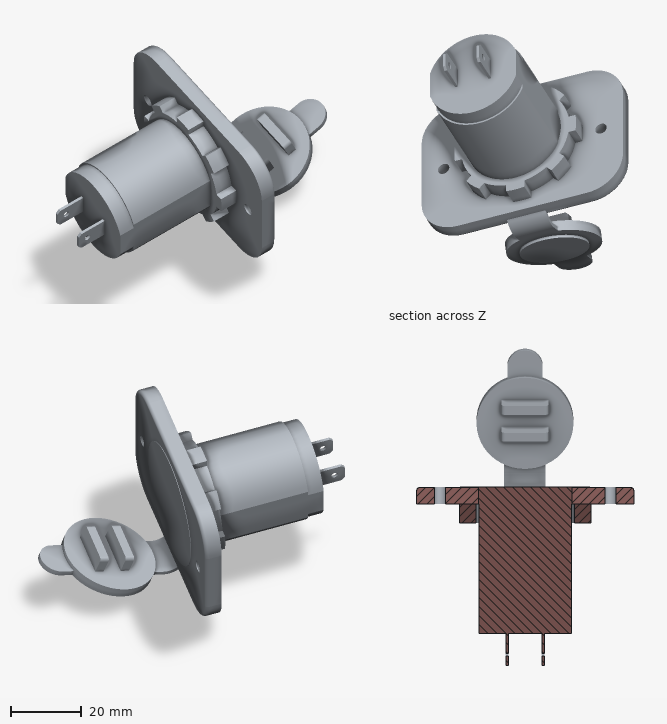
import cadquery as cq
import math


PLATE_WIDTH = 61.4
PLATE_HEIGHT = 43.7
PLATE_THICKNESS = 4.8
PLATE_CORNER_RADIUS = 11.0
PLATE_EDGE_FILLET = 1.0
SCREW_HOLE_DIAMETER = 3.5
SCREW_HOLE_SPACING = 48.0

BARREL_RADIUS = 14.3
BARREL_FLAT_WIDTH = 26.2
BARREL_END_RADIUS = 13.8
BARREL_STEP_Y = -31.9
BARREL_END_Y = -36.6
FLANGE_RADIUS = 18.3
FLANGE_THICKNESS = 0.13

TERMINAL_SPACING = 10.2
TERMINAL_THICKNESS = 0.8
TERMINAL_WIDTH = 6.3
TERMINAL_LENGTH = 8.9
TERMINAL_CHAMFER = 1.0
TERMINAL_HOLE_DIAMETER = 2.0
TERMINAL_HOLE_FROM_END = 3.0

NUT_THICKNESS = 5.3
NUT_BORE_RADIUS = 13.95
NUT_RIM_RADIUS = 16.45
NUT_LUG_RADIUS = 18.6
NUT_LUG_WIDTH = 5.5
NUT_LUG_COUNT = 8

CAP_TILT = 20.0
CAP_CENTER_Y = 22.8
CAP_CENTER_Z = -15.3
CAP_RADIUS = 13.7
CAP_THICKNESS = 2.95
PAD_RADIUS = 9.9
PAD_THICKNESS = 0.8
TAB_WIDTH = 10.0
TAB_THICKNESS = 1.6
TAB_ROUND_CENTER = 16.4
PRONG_WIDTH = 13.2
PRONG_THICKNESS = 2.7
PRONG_HEIGHT = 5.1
PRONG_CORNER_FILLET = 1.1
PRONG_OFFSETS = (-2.3, 5.7)

STRAP_WIDTH = 11.7
STRAP_THICKNESS = 1.2
STRAP_BEND_RADIUS = 5.8
STRAP_BEND_Y = 7.15


def cylinder_along_y(radius, y_start, y_end):
    """Cylinder on the socket axis between two Y positions."""
    return cq.Workplane("XZ", origin=(0, y_start, 0)).circle(radius).extrude(y_start - y_end)


def flatted_barrel(radius, y_start, y_end):
    """Cylinder on the socket axis with a flat on its left and right sides."""
    flats = cq.Workplane("XZ", origin=(0, y_start, 0)).rect(BARREL_FLAT_WIDTH, 2 * radius)
    return cylinder_along_y(radius, y_start, y_end).intersect(flats.extrude(y_start - y_end))


def make_terminal(x):
    """Flat blade with two chamfered end corners and a cross hole."""
    end_y = BARREL_END_Y - TERMINAL_LENGTH
    blade = (
        cq.Workplane("XY")
        .box(TERMINAL_THICKNESS, TERMINAL_LENGTH, TERMINAL_WIDTH)
        .edges("<Y and |X")
        .chamfer(TERMINAL_CHAMFER)
        .translate((x, end_y + TERMINAL_LENGTH / 2, 0))
    )
    hole = (
        cq.Workplane("YZ", origin=(x, end_y + TERMINAL_HOLE_FROM_END, 0))
        .circle(TERMINAL_HOLE_DIAMETER / 2)
        .extrude(TERMINAL_THICKNESS, both=True)
    )
    return blade.cut(hole)


def make_socket():
    """Flange in front of the plate, barrel through plate and nut, stepped end and two terminals."""
    socket = cylinder_along_y(FLANGE_RADIUS, PLATE_THICKNESS + FLANGE_THICKNESS, PLATE_THICKNESS)
    socket = socket.union(flatted_barrel(BARREL_RADIUS, PLATE_THICKNESS, BARREL_STEP_Y))
    socket = socket.union(flatted_barrel(BARREL_END_RADIUS, BARREL_STEP_Y, BARREL_END_Y))
    for side in (-1, 1):
        socket = socket.union(make_terminal(side * TERMINAL_SPACING / 2))
    return socket


def make_nut():
    """Ring with evenly spaced lugs; its bore is opened where the round sides of the barrel pass."""
    nut = cylinder_along_y(NUT_RIM_RADIUS, 0, -NUT_THICKNESS)
    lug_envelope = cylinder_along_y(NUT_LUG_RADIUS, 0, -NUT_THICKNESS)
    bar = cq.Workplane("XZ").rect(2 * NUT_LUG_RADIUS, NUT_LUG_WIDTH).extrude(NUT_THICKNESS)
    for index in range(NUT_LUG_COUNT // 2):
        turned_bar = bar.rotate((0, 0, 0), (0, 1, 0), index * 360 / NUT_LUG_COUNT)
        nut = nut.union(turned_bar.intersect(lug_envelope))
    nut = nut.cut(cylinder_along_y(NUT_BORE_RADIUS, 0, -NUT_THICKNESS))
    return nut.cut(flatted_barrel(BARREL_RADIUS, 0, -NUT_THICKNESS))


def yz(point):
    """Coordinates of a point in the YZ sketch plane."""
    return (point.y, point.z)


def make_strap():
    """Strap that leaves the cap straight and bends up into the plate, ending upright inside it."""
    tilt = math.radians(CAP_TILT)
    along = cq.Vector(0, math.cos(tilt), math.sin(tilt))
    outward = cq.Vector(0, math.sin(tilt), -math.cos(tilt))
    cap_outer = cq.Vector(0, CAP_CENTER_Y, CAP_CENTER_Z) + outward * CAP_THICKNESS

    bend_start_y = STRAP_BEND_Y + outward.y * STRAP_BEND_RADIUS
    bend_start = cap_outer - along * ((cap_outer.y - bend_start_y) / along.y)
    bend_center = bend_start - outward * STRAP_BEND_RADIUS
    bend_end = cq.Vector(0, -1, 0)
    bend_middle = (outward + bend_end).normalized()
    inner_radius = STRAP_BEND_RADIUS - STRAP_THICKNESS

    return (
        cq.Workplane("YZ")
        .moveTo(*yz(cap_outer))
        .lineTo(*yz(bend_start))
        .threePointArc(
            yz(bend_center + bend_middle * STRAP_BEND_RADIUS),
            yz(bend_center + bend_end * STRAP_BEND_RADIUS),
        )
        .lineTo(*yz(bend_center + bend_end * inner_radius))
        .threePointArc(
            yz(bend_center + bend_middle * inner_radius),
            yz(bend_center + outward * inner_radius),
        )
        .lineTo(*yz(cap_outer - outward * STRAP_THICKNESS))
        .close()
        .extrude(STRAP_WIDTH / 2, both=True)
    )


def make_prong(offset):
    """Upright plug on the inner face of the cap, with rounded top corners."""
    return (
        cq.Workplane("XY")
        .box(PRONG_WIDTH, PRONG_THICKNESS, PRONG_HEIGHT, centered=(True, True, False))
        .edges(">Z and |Y")
        .fillet(PRONG_CORNER_FILLET)
        .translate((0, offset, 0))
    )


def make_cap(strap):
    """Round cap with an outer pad, a pull tab, two prongs and the hinge strap."""
    cap = cq.Workplane("XY").circle(CAP_RADIUS).extrude(-CAP_THICKNESS)
    pad = cq.Workplane("XY", origin=(0, 0, -CAP_THICKNESS)).circle(PAD_RADIUS).extrude(-PAD_THICKNESS)
    tab = (
        cq.Workplane("XY", origin=(0, 0, -CAP_THICKNESS))
        .moveTo(-TAB_WIDTH / 2, 0)
        .lineTo(-TAB_WIDTH / 2, TAB_ROUND_CENTER)
        .threePointArc((0, TAB_ROUND_CENTER + TAB_WIDTH / 2), (TAB_WIDTH / 2, TAB_ROUND_CENTER))
        .lineTo(TAB_WIDTH / 2, 0)
        .close()
        .extrude(TAB_THICKNESS)
    )
    cap = cap.union(pad).union(tab)
    for offset in PRONG_OFFSETS:
        cap = cap.union(make_prong(offset))
    cap = cap.rotate((0, 0, 0), (1, 0, 0), CAP_TILT).translate((0, CAP_CENTER_Y, CAP_CENTER_Z))
    return cap.union(strap)


def make_plate(strap):
    """Rounded plate with a rounded front rim, two screw holes, a barrel opening and a strap slot."""
    plate = (
        cq.Workplane("XZ")
        .rect(PLATE_WIDTH, PLATE_HEIGHT)
        .extrude(-PLATE_THICKNESS)
        .edges("|Y")
        .fillet(PLATE_CORNER_RADIUS)
        .faces(">Y")
        .edges()
        .fillet(PLATE_EDGE_FILLET)
    )
    screw_holes = (
        cq.Workplane("XZ")
        .pushPoints([(-SCREW_HOLE_SPACING / 2, 0), (SCREW_HOLE_SPACING / 2, 0)])
        .circle(SCREW_HOLE_DIAMETER / 2)
        .extrude(-PLATE_THICKNESS)
    )
    opening = flatted_barrel(BARREL_RADIUS, PLATE_THICKNESS, 0)
    return plate.cut(screw_holes).cut(opening).cut(strap)


hinge_strap = make_strap()
plate = make_plate(hinge_strap)
socket = make_socket()
nut = make_nut()
cap = make_cap(hinge_strap)

bodies = [plate, socket, nut, cap]
result = cq.Compound.makeCompound([body.solids().val() for body in bodies])